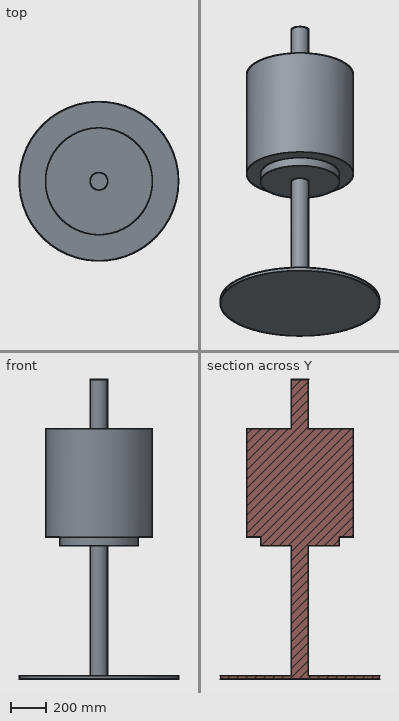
import cadquery as cq

total_height = 1710
base_diameter = 910
base_thickness = 20

pole_diameter = 100
pole_above_drum = 280

drum_diameter = 610
drum_height = 620
collar_diameter = 450
collar_height = 50

drum_bottom = total_height - pole_above_drum - drum_height
collar_bottom = drum_bottom - collar_height


def disc(diameter, bottom, height):
    """Solid cylinder centred on the Z axis."""
    return cq.Workplane("XY").workplane(offset=bottom).circle(diameter / 2).extrude(height)


base = disc(base_diameter, 0, base_thickness)
pole = disc(pole_diameter, 0, total_height)
collar = disc(collar_diameter, collar_bottom, collar_height)
drum = disc(drum_diameter, drum_bottom, drum_height)

result = base.union(pole).union(collar).union(drum)